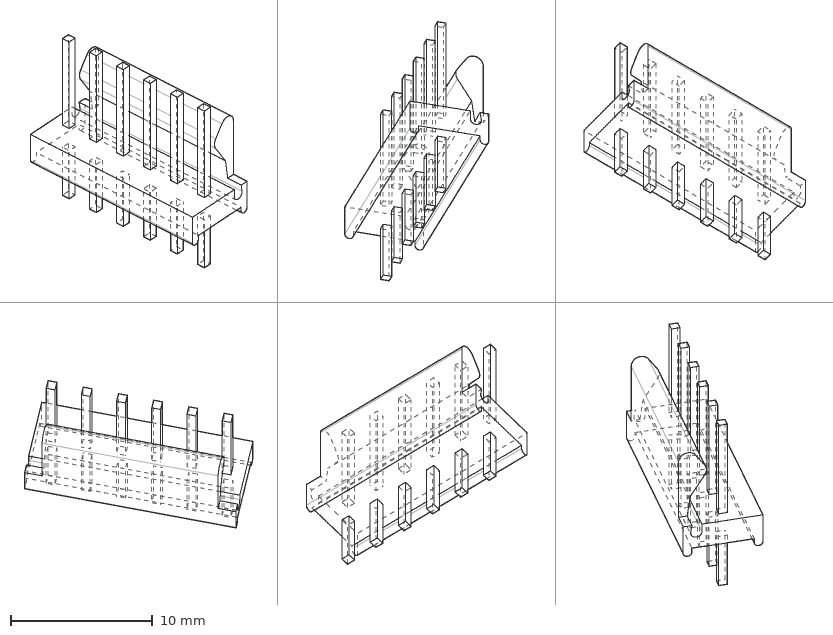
import cadquery as cq
import math


pin_count = 6
body_length = 15.24
pitch = body_length / pin_count
pin_width = 0.64
pin_top = 7.5
pin_height = 13.6

body_depth = 5.84
back_y = 3.17
front_y = back_y - body_depth
underside_z = -1.92
foot_bottom_z = -2.56
foot_radius = 0.32
foot_width = 2 * foot_radius
foot_round_z = foot_bottom_z + foot_radius

clip_top = 5.35
clip_length = body_length - pitch
crown_radius = 0.69
crown_center = (back_y - crown_radius, clip_top - crown_radius)
nose_radius = 0.76
nose_reach = 2.04
nose_center = (back_y - nose_reach + nose_radius, 3.67)
knee = (back_y - 0.87, 1.63)

slot_radius = 0.41
slot_front_y = back_y - 1.37
slot_center = (slot_front_y + slot_radius, -0.62)
slot_bottom = (slot_center[0], slot_center[1] - slot_radius)


def point_on_circle(center, radius, angle):
    return (center[0] + radius * math.cos(angle), center[1] + radius * math.sin(angle))


def tangent_angle(center_a, radius_a, center_b, radius_b):
    """Angle of the normal to the line that has both circles touching its right side.

    A zero radius stands for a point, a negative one for a circle on the other side.
    """
    dy = center_b[0] - center_a[0]
    dz = center_b[1] - center_a[1]
    spread = math.acos((radius_a - radius_b) / math.hypot(dy, dz))
    return math.atan2(dz, dy) + spread


def make_molding():
    """Base, feet and clip as one profile, with the clip cut short at both ends."""
    slot_angle = tangent_angle(slot_center, -slot_radius, knee, 0)
    lower_angle = tangent_angle(knee, 0, nose_center, nose_radius)
    upper_angle = tangent_angle(nose_center, nose_radius, crown_center, crown_radius)
    crown_middle_angle = upper_angle / 2
    nose_middle_angle = (lower_angle + upper_angle) / 2

    profile = (
        cq.Workplane("YZ", origin=(-body_length / 2, 0, 0))
        .moveTo(front_y, 0)
        .lineTo(slot_front_y, 0)
        .lineTo(slot_front_y, slot_center[1])
        .threePointArc(slot_bottom, point_on_circle(slot_center, -slot_radius, slot_angle))
        .lineTo(*knee)
        .lineTo(*point_on_circle(nose_center, nose_radius, lower_angle))
        .threePointArc(
            point_on_circle(nose_center, nose_radius, nose_middle_angle),
            point_on_circle(nose_center, nose_radius, upper_angle),
        )
        .lineTo(*point_on_circle(crown_center, crown_radius, upper_angle))
        .threePointArc(
            point_on_circle(crown_center, crown_radius, crown_middle_angle),
            (back_y, crown_center[1]),
        )
        .lineTo(back_y, foot_round_z)
        .threePointArc((back_y - foot_radius, foot_bottom_z), (back_y - foot_width, foot_round_z))
        .lineTo(back_y - foot_width, underside_z)
        .lineTo(front_y + foot_width, underside_z)
        .lineTo(front_y + foot_width, foot_round_z)
        .threePointArc((front_y + foot_radius, foot_bottom_z), (front_y, foot_round_z))
        .close()
    )
    molding = profile.extrude(body_length)

    end_length = (body_length - clip_length) / 2
    for side in (-1, 1):
        end_cut = cq.Workplane("XY").box(end_length, body_depth, clip_top, centered=(True, False, False))
        end_x = side * (clip_length + end_length) / 2
        molding = molding.cut(end_cut.translate((end_x, front_y, 0)))
    return molding


def make_pins():
    return (
        cq.Workplane("XY", origin=(0, 0, pin_top - pin_height))
        .rarray(pitch, 0.15, pin_count, 1)
        .rect(pin_width, pin_width)
        .extrude(pin_height)
    )


result = make_molding().union(make_pins())